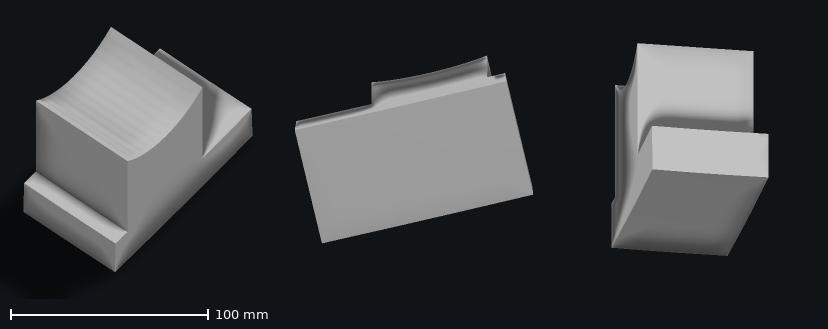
import cadquery as cq
import math

width = 60.0
length = 110.0
height = 85.1
base_thickness = 24.0
front_overhang = 10.0
saddle_depth = 11.0
dish_radius = 2000.0

half_width = width / 2
front_reach = half_width + front_overhang
back_reach = length - front_reach


def dish_sphere(radius):
    """Sphere centred high above the base, with its poles turned away from the part."""
    sphere = cq.Workplane("XY").sphere(radius).rotate((0, 0, 0), (1, 0, 0), 90)
    return sphere.translate((0, 0, dish_radius))


def base_end(reach, z):
    """Profile point on an end face, whose plane passes through the dish centre."""
    end_angle = math.asin(reach / dish_radius)
    return ((dish_radius - z) * math.tan(end_angle), z)


def make_base_blank():
    """Tapered block with radial end faces, tall enough to contain the dished base."""
    blank_top = 2 * base_thickness
    profile = [
        base_end(-front_reach, 0),
        base_end(back_reach, 0),
        base_end(back_reach, blank_top),
        base_end(-front_reach, blank_top),
    ]
    return cq.Workplane("YZ").polyline(profile).close().extrude(half_width, both=True)


def make_base():
    """Slice of a thick spherical shell."""
    solid_dish = make_base_blank().intersect(dish_sphere(dish_radius))
    return solid_dish.cut(dish_sphere(dish_radius - base_thickness))


def make_pillar():
    """Square pillar with a circular saddle across its top, running along X."""
    foot = base_thickness / 2
    return (
        cq.Workplane("YZ")
        .moveTo(-half_width, foot)
        .lineTo(half_width, foot)
        .lineTo(half_width, height)
        .threePointArc((0, height - saddle_depth), (-half_width, height))
        .close()
        .extrude(half_width, both=True)
    )


result = make_base().union(make_pillar())